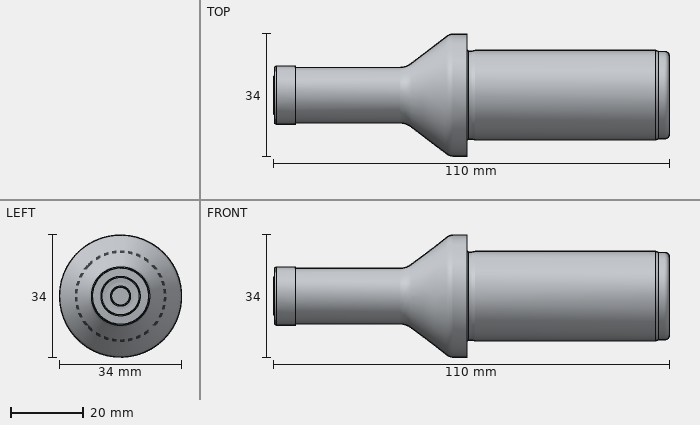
import cadquery as cq
import math

TOTAL_LENGTH = 110.0

HEAD_DIAMETER = 16.3
HEAD_LENGTH = 6.0
HEAD_CHAMFER_END = 0.8
FACE_DIAMETER = 15.6
FACE_RIM_DEPTH = 0.3
BOSS_BASE_DIAMETER = 11.0
BOSS_BASE_DEPTH = 0.2
BOSS_CREST_DIAMETER = 10.3
VALLEY_DIAMETER = 7.6
VALLEY_DEPTH = 0.1
RECESS_DIAMETER = 5.6
RECESS_RIM_DEPTH = 0.08
RECESS_FLOOR_DIAMETER = 5.0
RECESS_FLOOR_DEPTH = 0.3

NECK_DIAMETER = 15.5
NECK_END = 35.2
CONE_START = 38.3
CONE_START_DIAMETER = 17.7
CONE_END = 48.2
CONE_END_DIAMETER = 32.8
FLANGE_DIAMETER = 34.0
FLANGE_START = 49.8
FLANGE_END = 53.8

SHANK_DIAMETER = 25.0
RELIEF_DIAMETER = 24.5
RELIEF_CORNER = 0.3
RELIEF_END = 55.1
SHANK_START = 56.1
SHANK_END = 106.0
SHANK_CHAMFER_END = 106.7
SHANK_CHAMFER_DIAMETER = RELIEF_DIAMETER
TAIL_START = 106.9
TAIL_DIAMETER = 24.3
TAIL_ROUND = 1.3


def revolve_about_x(profile):
    """Turn a closed (x, radius) profile into a solid of revolution."""
    return profile.close().revolve(360, (0, 0, 0), (1, 0, 0))


def make_cutting_head():
    """Short head whose front face carries a shallow dished boss and a central recess."""
    profile = (
        cq.Workplane("XY")
        .moveTo(RECESS_FLOOR_DEPTH, 0)
        .lineTo(RECESS_FLOOR_DEPTH, RECESS_FLOOR_DIAMETER / 2)
        .lineTo(RECESS_RIM_DEPTH, RECESS_DIAMETER / 2)
        .lineTo(VALLEY_DEPTH, VALLEY_DIAMETER / 2)
        .lineTo(0, BOSS_CREST_DIAMETER / 2)
        .lineTo(BOSS_BASE_DEPTH, BOSS_BASE_DIAMETER / 2)
        .lineTo(FACE_RIM_DEPTH, FACE_DIAMETER / 2)
        .lineTo(HEAD_CHAMFER_END, HEAD_DIAMETER / 2)
        .lineTo(HEAD_LENGTH, HEAD_DIAMETER / 2)
        .lineTo(HEAD_LENGTH, 0)
    )
    return revolve_about_x(profile)


def make_holder():
    """Slim neck blending through a cone into the flange, followed by the shank."""
    flange_radius = FLANGE_DIAMETER / 2
    shank_radius = SHANK_DIAMETER / 2
    relief_radius = RELIEF_DIAMETER / 2
    tail_radius = TAIL_DIAMETER / 2
    relief_start = FLANGE_END + RELIEF_CORNER
    round_offset = TAIL_ROUND * (1 - math.sqrt(0.5))
    profile = (
        cq.Workplane("XY")
        .moveTo(HEAD_LENGTH, 0)
        .lineTo(HEAD_LENGTH, NECK_DIAMETER / 2)
        .lineTo(NECK_END, NECK_DIAMETER / 2)
        .tangentArcPoint((CONE_START, CONE_START_DIAMETER / 2), relative=False)
        .lineTo(CONE_END, CONE_END_DIAMETER / 2)
        .tangentArcPoint((FLANGE_START, flange_radius), relative=False)
        .lineTo(FLANGE_END, flange_radius)
        .lineTo(FLANGE_END, relief_radius + RELIEF_CORNER)
        .lineTo(relief_start, relief_radius)
        .lineTo(RELIEF_END, relief_radius)
        .lineTo(SHANK_START, shank_radius)
        .lineTo(SHANK_END, shank_radius)
        .lineTo(SHANK_CHAMFER_END, SHANK_CHAMFER_DIAMETER / 2)
        .lineTo(TAIL_START, tail_radius)
        .lineTo(TOTAL_LENGTH - TAIL_ROUND, tail_radius)
        .threePointArc(
            (TOTAL_LENGTH - round_offset, tail_radius - round_offset),
            (TOTAL_LENGTH, tail_radius - TAIL_ROUND),
        )
        .lineTo(TOTAL_LENGTH, 0)
    )
    return revolve_about_x(profile)


cutting_head = make_cutting_head()
holder = make_holder()

result = cq.Compound.makeCompound([cutting_head.val(), holder.val()])